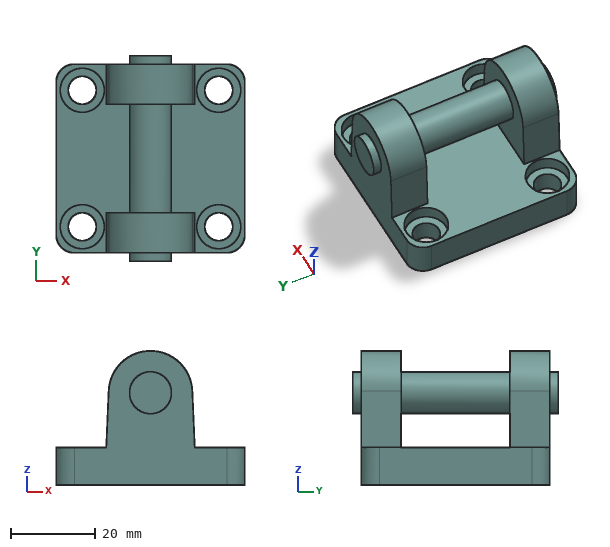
import cadquery as cq
import math

base_side = 45.0
base_height = 9.0
corner_radius = 4.35

hole_spacing = 32.5
hole_diameter = 6.6
counterbore_diameter = 10.5
counterbore_depth = 3.5

total_height = 32.0
ear_radius = 10.0
ear_foot_width = 21.1
ear_thickness = 9.55
pin_diameter = 10.0
pin_length = 49.0
pin_height = total_height - ear_radius


def make_base():
    """Rounded square plate with a counterbored through hole near each corner."""
    plate = cq.Workplane("XY").box(base_side, base_side, base_height, centered=(True, True, False))
    plate = plate.edges("|Z").fillet(corner_radius)
    return (
        plate.faces(">Z").workplane(origin=(0, 0, base_height))
        .rect(hole_spacing, hole_spacing, forConstruction=True)
        .vertices()
        .cboreHole(hole_diameter, counterbore_diameter, counterbore_depth)
    )


def make_ear(front_y):
    """Tapered ear whose sides run tangent into its round top, extending from front_y toward +Y."""
    foot_half = ear_foot_width / 2
    rise = pin_height - base_height
    foot_distance = math.hypot(foot_half, rise)
    tangent_angle = math.acos(ear_radius / foot_distance) - math.atan2(rise, foot_half)
    tangent_x = ear_radius * math.cos(tangent_angle)
    tangent_z = pin_height + ear_radius * math.sin(tangent_angle)
    return (
        cq.Workplane("XZ", origin=(0, front_y, 0))
        .moveTo(-foot_half, base_height)
        .lineTo(foot_half, base_height)
        .lineTo(tangent_x, tangent_z)
        .threePointArc((0, total_height), (-tangent_x, tangent_z))
        .close()
        .extrude(-ear_thickness)
    )


def make_pin():
    """Round pin along Y, standing out equally beyond both ears."""
    return (
        cq.Workplane("XZ", origin=(0, -pin_length / 2, pin_height))
        .circle(pin_diameter / 2)
        .extrude(-pin_length)
    )


result = make_base()
for ear_front_y in (-base_side / 2, base_side / 2 - ear_thickness):
    result = result.union(make_ear(ear_front_y))
result = result.union(make_pin())